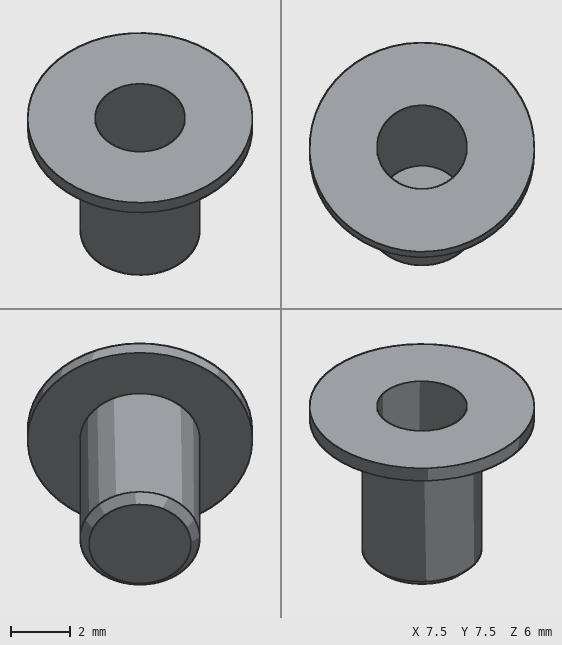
import cadquery as cq

flange_diameter = 7.5
shank_diameter = 4.0
bore_diameter = 3.0
total_height = 6.0
flange_thickness = 0.5
tip_chamfer = 0.3

floor_thickness = (shank_diameter - bore_diameter) / 2


def make_shank():
    """Cylinder standing on Z = 0 with a chamfered lower end."""
    shank = cq.Workplane("XY").circle(shank_diameter / 2).extrude(total_height)
    return shank.faces("<Z").edges().chamfer(tip_chamfer)


def make_flange():
    """Thin disc flush with the top of the shank."""
    flange_base = cq.Workplane("XY").workplane(offset=total_height - flange_thickness)
    return flange_base.circle(flange_diameter / 2).extrude(flange_thickness)


def make_bore():
    """Blind, flat-bottomed bore open at the flange."""
    bore_floor = cq.Workplane("XY").workplane(offset=floor_thickness)
    return bore_floor.circle(bore_diameter / 2).extrude(total_height - floor_thickness)


result = make_shank().union(make_flange()).cut(make_bore())